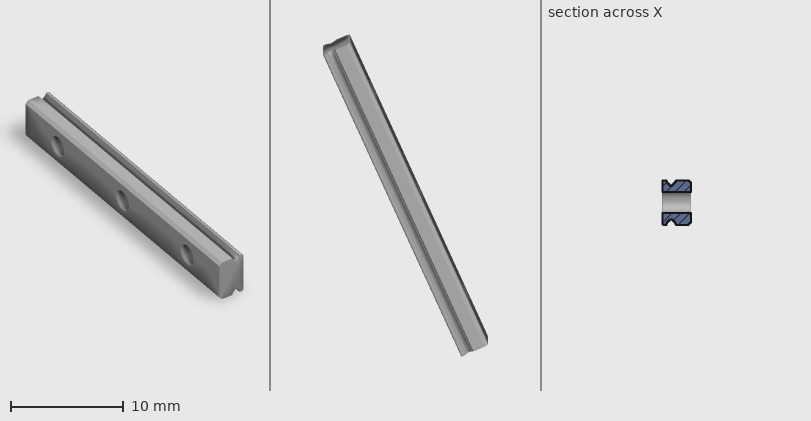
import cadquery as cq

length = 30.0
depth = 2.6
height = 4.0

front_chamfer = 0.3
back_fillet = 0.2

groove_center_from_back = 0.8
ball_groove_radius = 0.4
relief_radius = 0.15
relief_center_depth = 0.35

hole_count = 3
hole_pitch = 10.0
hole_diameter = 1.8
hole_chamfer = 0.1

front_y = -depth / 2
back_y = depth / 2
groove_y = back_y - groove_center_from_back


def make_bar():
    """Bar centred on the origin, chamfered along its front edges and rounded along its back edges."""
    bar = cq.Workplane("XY").box(length, depth, height)
    bar = bar.faces("<Y").edges("|X").chamfer(front_chamfer)
    return bar.faces(">Y").edges("|X").fillet(back_fillet)


def make_rod(radius, y, z):
    """Round cutter running the full length of the rail."""
    return cq.Workplane("YZ").center(y, z).circle(radius).extrude(length / 2, both=True)


def make_groove(side):
    """Ball groove with a relief groove along its root; side is +1 for the top, -1 for the bottom."""
    surface_z = side * height / 2
    relief_z = surface_z - side * relief_center_depth
    ball_groove = make_rod(ball_groove_radius, groove_y, surface_z)
    relief_groove = make_rod(relief_radius, groove_y, relief_z)
    return ball_groove.union(relief_groove)


def make_hole(x):
    """Through-hole cutter along Y with a small chamfer at the front and back mouths."""
    radius = hole_diameter / 2
    mouth_radius = radius + hole_chamfer
    return (
        cq.Workplane("XY")
        .polyline([
            (0, front_y),
            (mouth_radius, front_y),
            (radius, front_y + hole_chamfer),
            (radius, back_y - hole_chamfer),
            (mouth_radius, back_y),
            (0, back_y),
        ])
        .close()
        .revolve(360, (0, 0, 0), (0, 1, 0))
        .translate((x, 0, 0))
    )


result = make_bar()
for side in (1, -1):
    result = result.cut(make_groove(side))
for index in range(hole_count):
    hole_x = (index - (hole_count - 1) / 2) * hole_pitch
    result = result.cut(make_hole(hole_x))